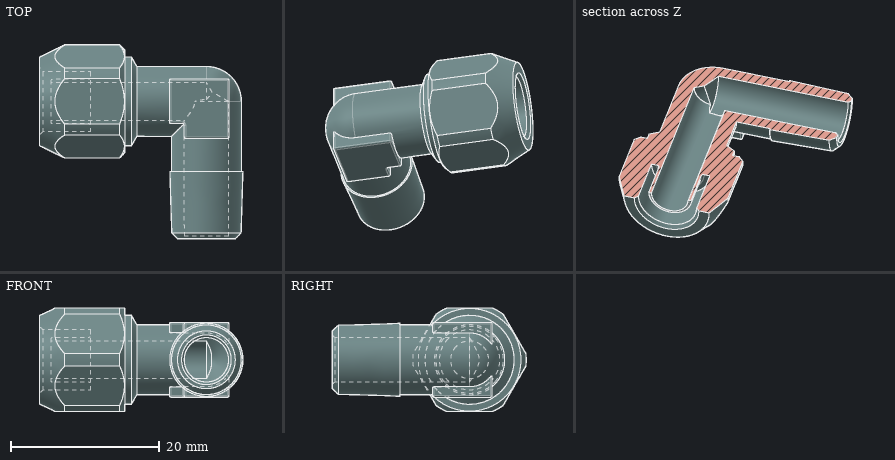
import cadquery as cq
import math


tube_diameter = 9.47
tube_radius = tube_diameter / 2

nut_face_x = -22.5
nut_length = 11.53
nut_flats = 14.0
nut_corner_diameter = 15.3
nut_corner_radius = nut_corner_diameter / 2
nut_face_radius = 5.98
nut_nose_length = 3.4
nut_back_chamfer = 0.7
collar_radius = 6.0
collar_length = 0.85
collar_taper_length = 0.77

pipe_start_y = -9.42
pipe_tip_y = -18.53
pipe_large_radius = 4.95
pipe_small_radius = 4.7
pipe_chamfer = 0.82
pipe_tip_radius = 3.9

pad_half_height = 5.05
pad_outer = 3.05
pad_reach = 5.0
pad_notch = 3.0
pad_edge_radius = 0.22

nut_bore_radius = 2.55
pipe_bore_radius = 3.0
pipe_mouth_radius = 3.35
drill_point_angle = 120.0

socket_radius = 4.05
socket_mouth_radius = 4.53
socket_depth = 6.85
stem_face_radius = 2.77
stem_radius = 3.0
stem_root_radius = 3.3
stem_setback = 1.55

nut_back_x = nut_face_x + nut_length
collar_end_x = nut_back_x + collar_length
socket_floor_x = nut_face_x + socket_depth
stem_face_x = nut_face_x + stem_setback


def turned_x(points):
    """Solid turned about the X axis from (x, radius) points."""
    return cq.Workplane("XY").polyline(points).close().revolve(360, (0, 0, 0), (1, 0, 0))


def turned_y(points):
    """Solid turned about the Y axis from (radius, y) points."""
    return cq.Workplane("XY").polyline(points).close().revolve(360, (0, 0, 0), (0, 1, 0))


def drill_point_length(radius):
    return radius / math.tan(math.radians(drill_point_angle / 2))


def make_nut():
    across_corners = nut_flats / math.cos(math.radians(30))
    hexagon = (
        cq.Workplane("YZ", origin=(nut_face_x, 0, 0))
        .polygon(6, across_corners)
        .extrude(nut_length)
    )
    envelope = turned_x([
        (nut_face_x, 0),
        (nut_face_x, nut_face_radius),
        (nut_face_x + nut_nose_length, nut_corner_radius),
        (nut_back_x - nut_back_chamfer, nut_corner_radius),
        (nut_back_x, nut_corner_radius - nut_back_chamfer),
        (nut_back_x, 0),
    ])
    return hexagon.intersect(envelope)


def make_nut_arm():
    return turned_x([
        (nut_back_x, 0),
        (nut_back_x, collar_radius),
        (collar_end_x, collar_radius),
        (collar_end_x + collar_taper_length, tube_radius),
        (0, tube_radius),
        (0, 0),
    ])


def make_pipe_arm():
    return turned_y([
        (0, 0),
        (tube_radius, 0),
        (tube_radius, pipe_start_y),
        (pipe_large_radius, pipe_start_y),
        (pipe_small_radius, pipe_tip_y + pipe_chamfer),
        (pipe_tip_radius, pipe_tip_y),
        (0, pipe_tip_y),
    ])


def make_pads():
    """L-shaped block through the elbow that shows as a pad above and below."""
    outline = [
        (-pad_reach, pad_outer),
        (pad_outer, pad_outer),
        (pad_outer, -pad_reach),
        (-pad_notch, -pad_reach),
        (-pad_notch, -pad_notch),
        (-pad_reach, -pad_notch),
    ]
    block = (
        cq.Workplane("XY", origin=(0, 0, -pad_half_height))
        .polyline(outline).close()
        .extrude(2 * pad_half_height)
    )
    return block.edges().fillet(pad_edge_radius)


def make_nut_bore():
    return turned_x([
        (nut_face_x, 0),
        (nut_face_x, nut_bore_radius),
        (0, nut_bore_radius),
        (drill_point_length(nut_bore_radius), 0),
    ])


def make_pipe_bore():
    mouth_depth = pipe_mouth_radius - pipe_bore_radius
    return turned_y([
        (0, pipe_tip_y),
        (pipe_mouth_radius, pipe_tip_y),
        (pipe_bore_radius, pipe_tip_y + mouth_depth),
        (pipe_bore_radius, 0),
        (0, drill_point_length(pipe_bore_radius)),
    ])


def make_socket():
    """Space around the stem, open at the nut face."""
    mouth_depth = socket_mouth_radius - socket_radius
    nose_round = stem_radius - stem_face_radius
    root_round = stem_root_radius - stem_radius
    arc_middle = 1 - math.cos(math.radians(45))
    outline = (
        cq.Workplane("XY")
        .moveTo(nut_face_x, 0)
        .lineTo(nut_face_x, socket_mouth_radius)
        .lineTo(nut_face_x + mouth_depth, socket_radius)
        .lineTo(socket_floor_x, socket_radius)
        .lineTo(socket_floor_x, stem_root_radius)
        .threePointArc(
            (socket_floor_x - arc_middle * root_round, stem_radius + arc_middle * root_round),
            (socket_floor_x - root_round, stem_radius),
        )
        .lineTo(stem_face_x + nose_round, stem_radius)
        .threePointArc(
            (stem_face_x + arc_middle * nose_round, stem_radius - arc_middle * nose_round),
            (stem_face_x, stem_face_radius),
        )
        .lineTo(stem_face_x, 0)
        .close()
    )
    return outline.revolve(360, (0, 0, 0), (1, 0, 0))


elbow_corner = cq.Workplane("XY").sphere(tube_radius)
body = make_nut_arm().union(make_pipe_arm()).union(elbow_corner).union(make_pads())
body = body.union(make_nut())
result = body.cut(make_socket()).cut(make_nut_bore()).cut(make_pipe_bore())